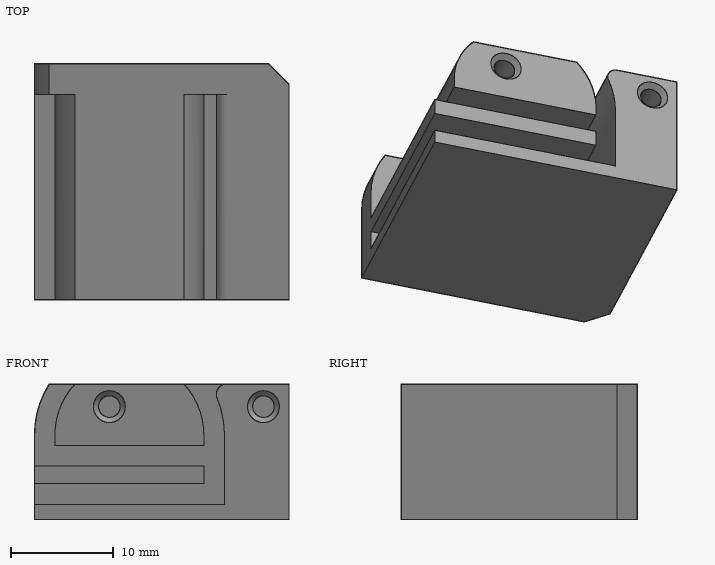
import cadquery as cq
import math

LENGTH = 24.8
DEPTH = 23.0
HEIGHT = 13.2
CORNER_CHAMFER = 2.0
BACK_WALL = 3.0

OUTER_RADIUS = 9.25
CHANNEL_WIDTH = 2.0
BLOCK_RADIUS = OUTER_RADIUS - CHANNEL_WIDTH
ARC_X = OUTER_RADIUS
ARC_Z = 8.25
LIP_RADIUS = 1.0

FLOOR_TOP = 1.45
TONGUE_BOTTOM = 3.5
TONGUE_TOP = 5.2
BLOCK_BOTTOM = 7.2
TONGUE_END = ARC_X + BLOCK_RADIUS
CHANNEL_END = ARC_X + OUTER_RADIUS

HOLE_DIAMETER = 2.1
SINK_DIAMETER = 3.1
SINK_DEPTH = (SINK_DIAMETER - HOLE_DIAMETER) / 2
HOLE_DEPTH = 10.0
FIRST_HOLE_X = 7.3
HOLE_SPACING = 15.0
HOLE_Z = 11.0


def arc_half_width(radius, z):
    """Horizontal distance from the arc centre to an arc of this radius at height z."""
    return math.sqrt(radius**2 - (z - ARC_Z) ** 2)


def arc_point(radius, angle):
    """Point on an arc about the common centre, angle in radians from +X."""
    return (ARC_X + radius * math.cos(angle), ARC_Z + radius * math.sin(angle))


def extrude_back(profile, depth):
    """Extrude a closed XZ profile from the front face toward +Y."""
    return profile.close().extrude(-depth)


def make_body():
    """Full-depth block with a rounded upper left side and one chamfered back corner."""
    half_rise = math.asin((HEIGHT - ARC_Z) / OUTER_RADIUS) / 2
    profile = (
        cq.Workplane("XZ")
        .lineTo(LENGTH, 0)
        .lineTo(LENGTH, HEIGHT)
        .lineTo(ARC_X - arc_half_width(OUTER_RADIUS, HEIGHT), HEIGHT)
        .threePointArc(arc_point(OUTER_RADIUS, math.pi - half_rise), (0, ARC_Z))
    )
    body = extrude_back(profile, DEPTH)
    return body.edges("|Z and >X and >Y").chamfer(CORNER_CHAMFER)


def make_cavity():
    """Space in front of the back wall, bounded on the right by the wall with its rounded lip."""
    lip_z = HEIGHT - LIP_RADIUS
    lip_x = ARC_X + arc_half_width(OUTER_RADIUS + LIP_RADIUS, lip_z)
    meet_angle = math.atan2(lip_z - ARC_Z, lip_x - ARC_X)
    profile = (
        cq.Workplane("XZ")
        .moveTo(0, FLOOR_TOP)
        .lineTo(CHANNEL_END, FLOOR_TOP)
        .lineTo(CHANNEL_END, ARC_Z)
        .threePointArc(arc_point(OUTER_RADIUS, meet_angle / 2), arc_point(OUTER_RADIUS, meet_angle))
        .threePointArc((lip_x - LIP_RADIUS, lip_z), (lip_x, HEIGHT))
        .lineTo(0, HEIGHT)
    )
    return extrude_back(profile, DEPTH - BACK_WALL)


def make_block():
    """Upper block with rounded flanks, standing forward from the back wall."""
    half_rise = math.asin((HEIGHT - ARC_Z) / BLOCK_RADIUS) / 2
    half_top = arc_half_width(BLOCK_RADIUS, HEIGHT)
    left = ARC_X - BLOCK_RADIUS
    right = ARC_X + BLOCK_RADIUS
    profile = (
        cq.Workplane("XZ")
        .moveTo(left, BLOCK_BOTTOM)
        .lineTo(right, BLOCK_BOTTOM)
        .lineTo(right, ARC_Z)
        .threePointArc(arc_point(BLOCK_RADIUS, half_rise), (ARC_X + half_top, HEIGHT))
        .lineTo(ARC_X - half_top, HEIGHT)
        .threePointArc(arc_point(BLOCK_RADIUS, math.pi - half_rise), (left, ARC_Z))
    )
    return extrude_back(profile, DEPTH - BACK_WALL)


def make_tongue():
    """Flat plate between the floor and the upper block."""
    size = (TONGUE_END, DEPTH - BACK_WALL, TONGUE_TOP - TONGUE_BOTTOM)
    return cq.Workplane("XY").box(*size, centered=False).translate((0, 0, TONGUE_BOTTOM))


def make_hole(x):
    """Blind hole with a 45 degree countersink at the front face."""
    profile = (
        cq.Workplane("XY")
        .lineTo(SINK_DIAMETER / 2, 0)
        .lineTo(HOLE_DIAMETER / 2, SINK_DEPTH)
        .lineTo(HOLE_DIAMETER / 2, HOLE_DEPTH)
        .lineTo(0, HOLE_DEPTH)
        .close()
    )
    return profile.revolve(360, (0, 0, 0), (0, 1, 0)).translate((x, 0, HOLE_Z))


result = make_body().cut(make_cavity()).union(make_block()).union(make_tongue())
for hole_x in (FIRST_HOLE_X, FIRST_HOLE_X + HOLE_SPACING):
    result = result.cut(make_hole(hole_x))